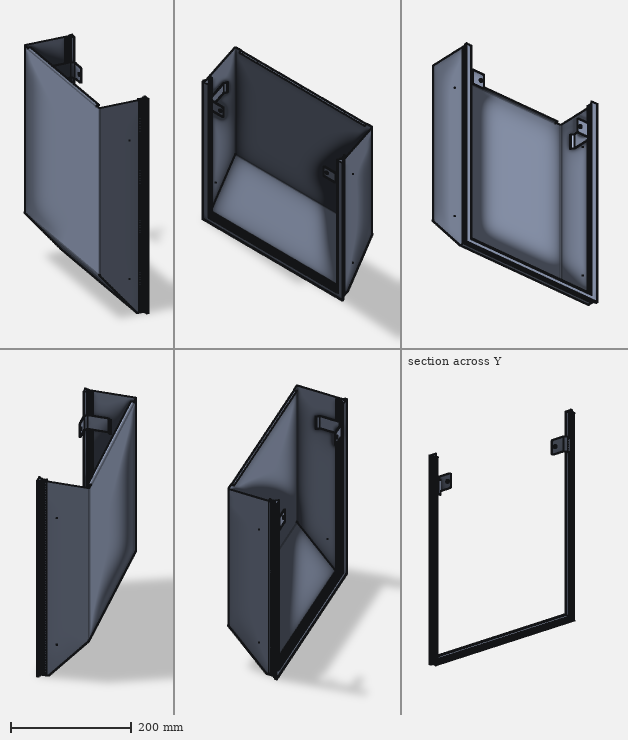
import cadquery as cq
import math

WIDTH = 287.5
HEIGHT = 392.7

LIP_SETBACK = 1.02
WEB_END = 12.0
WEB_FRONT = 2.5
ARM_INNER = 7.0
ARM_OUTER = 4.7
TEETH_START = 7.0
TOOTH_COUNT = 4
TOOTH_PITCH = 2.0
TOOTH_DEPTH = 0.5
ARM_END = 16.5
FOOT_INNER = 8.5
LIP_THICKNESS = 1.0
LIP_LENGTH = 3.5
OUTER_HOOK_END = 6.3

COVER_FRONT = LIP_SETBACK + 89.5
SHEET = 0.8
SEAL_OVERHANG = 2.7
COVER_REAR = 4.7
BOTTOM_END = 20.5
KNEE_HEIGHT = 85.5
BEND_RADIUS = 2.0
FLANGE_LENGTH = 257.5
FLANGE_DEPTH = 6.0
CUT_CLEARANCE = 4.0
WALL_HOLE_DIAMETER = 0.8
WALL_HOLE_FROM_REAR = 34.0
WALL_HOLE_HEIGHTS = (68.0, 322.0)
COVER_HALF_WIDTH = WIDTH / 2 - SEAL_OVERHANG
KNEE_TOP = KNEE_HEIGHT + BEND_RADIUS / 2
BOX_CENTRED = (True, False, False)

BRACKET_SHEET = 1.5
BRACKET_HEIGHT = 28.0
BRACKET_CENTRE_HEIGHT = 334.5
BRACKET_END_X = 102.5
BRACKET_LEG_X = 132.5
BRACKET_REAR = 2.7
CORNER_CUT = 5.5
LEG_END = 44.8
JOG = 4.0
TIP_LENGTH = 2.0
PLATE_CORNER_RADIUS = 2.7
SCREW_HOLE_DIAMETER = 5.5
SCREW_HOLE_FROM_END = 6.5


def cover_block(inset, bend_radius, rear, top):
    """Solid with the cover's outline, moved inwards by `inset` on the front, slope, bottom and sides."""
    slope_angle = math.atan2(KNEE_HEIGHT - SEAL_OVERHANG, COVER_FRONT - BOTTOM_END)
    bottom_shift = inset * math.tan(slope_angle / 2)
    knee_shift = inset * math.tan((math.pi / 2 - slope_angle) / 2)
    half_width = COVER_HALF_WIDTH - inset
    front = inset - COVER_FRONT
    bottom_corner = (bottom_shift - BOTTOM_END, SEAL_OVERHANG + inset)
    knee = (front, KNEE_HEIGHT + knee_shift)
    side_outline = [(-rear, SEAL_OVERHANG + inset), bottom_corner, knee, (front, top), (-rear, top)]
    block = cq.Workplane("YZ").polyline(side_outline).close().extrude(half_width, both=True)
    for y, z in (bottom_corner, knee):
        block = block.edges(cq.NearestToPointSelector((0, y, z))).fillet(bend_radius)

    lower = cq.Workplane("XY").box(2 * half_width, COVER_FRONT - inset, KNEE_TOP, centered=BOX_CENTRED)
    upper = (
        cq.Workplane("XY")
        .box(2 * half_width, COVER_FRONT - inset, top - KNEE_TOP, centered=BOX_CENTRED)
        .edges("|Z and <Y")
        .fillet(bend_radius)
        .translate((0, 0, KNEE_TOP))
    )
    envelope = lower.union(upper).translate((0, front, 0))
    return block.intersect(envelope)


def top_flange():
    """Flange along the top of the front panel, bent rearwards round an arc."""
    inner_radius = BEND_RADIUS - SHEET
    front = -COVER_FRONT
    bend_y = front + BEND_RADIUS
    bend_z = HEIGHT - BEND_RADIUS
    diagonal = math.sqrt(0.5)
    section = (
        cq.Workplane("YZ")
        .moveTo(front, bend_z)
        .threePointArc(
            (bend_y - BEND_RADIUS * diagonal, bend_z + BEND_RADIUS * diagonal), (bend_y, HEIGHT)
        )
        .lineTo(front + FLANGE_DEPTH, HEIGHT)
        .lineTo(front + FLANGE_DEPTH, HEIGHT - SHEET)
        .lineTo(bend_y, HEIGHT - SHEET)
        .threePointArc(
            (bend_y - inner_radius * diagonal, bend_z + inner_radius * diagonal),
            (front + SHEET, bend_z),
        )
        .close()
    )
    return section.extrude(FLANGE_LENGTH / 2, both=True)


def make_cover():
    """Open-backed, open-topped cover with a sloping lower front."""
    outer = cover_block(0, BEND_RADIUS, COVER_REAR, HEIGHT)
    inner = cover_block(SHEET, BEND_RADIUS - SHEET, 0, HEIGHT + CUT_CLEARANCE)
    cover = outer.cut(inner)
    bend_space = cq.Workplane("XY").box(
        FLANGE_LENGTH, BEND_RADIUS, BEND_RADIUS, centered=BOX_CENTRED
    )
    cover = cover.cut(bend_space.translate((0, -COVER_FRONT, HEIGHT - BEND_RADIUS)))
    cover = cover.union(top_flange())
    wall_holes = (
        cq.Workplane("YZ")
        .pushPoints([(-WALL_HOLE_FROM_REAR, height) for height in WALL_HOLE_HEIGHTS])
        .circle(WALL_HOLE_DIAMETER / 2)
        .extrude(WIDTH / 2, both=True)
    )
    return cover.cut(wall_holes)


def make_seal():
    """Edge seal of constant section along the left side, the bottom and the right side."""
    wall_out = SEAL_OVERHANG
    wall_in = SEAL_OVERHANG + SHEET
    lip_and_web = [
        (0, 0),
        (LIP_THICKNESS, LIP_SETBACK),
        (WEB_END, LIP_SETBACK),
        (WEB_END, WEB_FRONT),
        (10.5, WEB_FRONT),
        (9.0, 7.0),
        (8.2, 5.5),
        (ARM_INNER, TEETH_START),
    ]
    teeth = []
    for number in range(TOOTH_COUNT):
        start = TEETH_START + number * TOOTH_PITCH
        teeth.append((ARM_INNER + TOOTH_DEPTH, start + TOOTH_PITCH / 2))
        teeth.append((ARM_INNER, start + TOOTH_PITCH))
    foot_and_slot = [
        (FOOT_INNER, 15.5),
        (FOOT_INNER, ARM_END),
        (ARM_OUTER, ARM_END),
        (ARM_OUTER, 13.5),
        (wall_in, 12.0),
        (wall_in, 10.0),
        (ARM_OUTER, 9.5),
        (wall_in, 8.5),
        (wall_in, COVER_REAR),
        (wall_out, COVER_REAR),
        (wall_out, OUTER_HOOK_END),
        (1.5, OUTER_HOOK_END),
        (LIP_THICKNESS, LIP_LENGTH),
        (0, LIP_LENGTH),
    ]
    section = lip_and_web + teeth + foot_and_slot
    half_width = WIDTH / 2
    path = cq.Workplane("XZ").polyline(
        [(-half_width, HEIGHT), (-half_width, 0), (half_width, 0), (half_width, HEIGHT)]
    )
    outline = [(inwards - half_width, -forwards) for inwards, forwards in section]
    profile = cq.Workplane("XY", origin=(0, 0, HEIGHT)).polyline(outline).close()
    return profile.sweep(path, transition="right")


def make_bracket(side):
    """Bent strip bracket; `side` is -1 for the left one and 1 for the right one."""
    bend = BRACKET_SHEET * math.tan(math.pi / 8)
    leg_in = BRACKET_LEG_X - BRACKET_SHEET
    plate_front = BRACKET_REAR + BRACKET_SHEET
    tip = LEG_END + JOG + TIP_LENGTH
    outline = [
        (BRACKET_END_X, BRACKET_REAR),
        (BRACKET_LEG_X - CORNER_CUT, BRACKET_REAR),
        (BRACKET_LEG_X, BRACKET_REAR + CORNER_CUT),
        (BRACKET_LEG_X, LEG_END),
        (BRACKET_LEG_X - JOG, LEG_END + JOG),
        (BRACKET_LEG_X - JOG, tip),
        (leg_in - JOG, tip),
        (leg_in - JOG, LEG_END + JOG - bend),
        (leg_in, LEG_END - bend),
        (leg_in, BRACKET_REAR + CORNER_CUT + bend),
        (BRACKET_LEG_X - CORNER_CUT - bend, plate_front),
        (BRACKET_END_X, plate_front),
    ]
    strip = (
        cq.Workplane("XY", origin=(0, 0, BRACKET_CENTRE_HEIGHT))
        .polyline([(side * x, -y) for x, y in outline])
        .close()
        .extrude(BRACKET_HEIGHT / 2, both=True)
    )
    end_face = ">X" if side < 0 else "<X"
    strip = strip.faces(end_face).edges("|Y").fillet(PLATE_CORNER_RADIUS)
    hole_x = side * (BRACKET_END_X + SCREW_HOLE_FROM_END)
    screw_hole = (
        cq.Workplane("XZ")
        .center(hole_x, BRACKET_CENTRE_HEIGHT)
        .circle(SCREW_HOLE_DIAMETER / 2)
        .extrude(plate_front)
    )
    return strip.cut(screw_hole)


cover = make_cover()
seal = make_seal()
brackets = [make_bracket(side) for side in (-1, 1)]

result = cq.Compound.makeCompound([cover.val(), seal.val(), *[bracket.val() for bracket in brackets]])